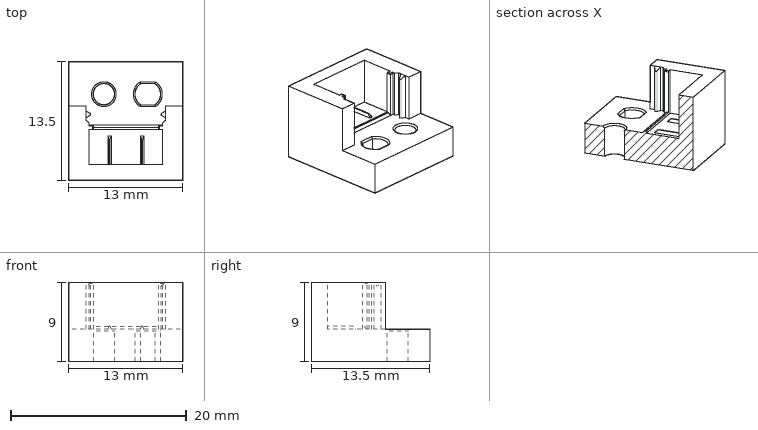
import cadquery as cq

width = 13.0
depth = 13.5
height = 9.0

shelf_height = 3.69
upper_depth = 8.44

front_wall = 1.8
pocket_half_width = 4.18
mouth_half_width = 4.52
mouth_taper_front = 6.55
mouth_taper_rear = 6.83

guide_front = 5.8
guide_rear = 6.3
guide_half_gap = 3.7
guide_chamfer = 0.11
sill_height = 0.28

bump_center_y = 7.5
bump_half_width = 0.38
bump_reach = 0.65
bump_tip_radius = 0.15
bump_top_drop = 0.54

ridge_spacing = 3.7
ridge_base = 0.39
ridge_top = 0.12
ridge_height = 0.36
ridge_rear = 5.04

hole_spacing = 5.0
hole_y = 9.8
hole_radius = 1.2
flatted_hole_radius = 1.45
hole_chamfer = 0.2
rim_margin = 0.14


def make_body():
    """Stepped block with the pocket cut down to shelf level."""
    base = cq.Workplane("XY").box(width, depth, shelf_height, centered=(True, False, False))
    wall_height = height - shelf_height
    walls = (
        cq.Workplane("XY", origin=(0, 0, shelf_height))
        .box(width, upper_depth, wall_height, centered=(True, False, False))
    )
    pocket = (
        cq.Workplane("XY", origin=(0, 0, shelf_height))
        .moveTo(-pocket_half_width, front_wall)
        .lineTo(pocket_half_width, front_wall)
        .lineTo(pocket_half_width, mouth_taper_front)
        .lineTo(mouth_half_width, mouth_taper_rear)
        .lineTo(mouth_half_width, upper_depth)
        .lineTo(-mouth_half_width, upper_depth)
        .lineTo(-mouth_half_width, mouth_taper_rear)
        .lineTo(-pocket_half_width, mouth_taper_front)
        .close()
        .extrude(wall_height)
    )
    return base.union(walls.cut(pocket))


def make_guide_rib():
    """Guide rib on the +X wall, chamfered on top along its inner and rear edges."""
    rib_width = pocket_half_width - guide_half_gap
    return (
        cq.Workplane("XY", origin=(guide_half_gap, guide_front, shelf_height))
        .box(rib_width, guide_rear - guide_front, height - shelf_height, centered=False)
        .faces(">Z")
        .edges("<X or >Y")
        .chamfer(guide_chamfer)
    )


def make_sill():
    """Low bar between the guide ribs, with a 45 degree ramp on its rear side."""
    return (
        cq.Workplane("YZ", origin=(-guide_half_gap, 0, shelf_height))
        .moveTo(guide_front, 0)
        .lineTo(guide_rear, 0)
        .lineTo(guide_rear - sill_height, sill_height)
        .lineTo(guide_front, sill_height)
        .close()
        .extrude(2 * guide_half_gap)
    )


def make_snap_bump():
    """Round-tipped vertical bump on the +X wall, its top sloping down from the wall top."""
    tip_x = mouth_half_width - bump_reach
    prism = (
        cq.Workplane("XY", origin=(0, 0, shelf_height))
        .moveTo(mouth_half_width, bump_center_y - bump_half_width)
        .lineTo(tip_x, bump_center_y)
        .lineTo(mouth_half_width, bump_center_y + bump_half_width)
        .close()
        .extrude(height - shelf_height)
        .edges("|Z and <X")
        .fillet(bump_tip_radius)
    )
    slope_cut = (
        cq.Workplane("XZ", origin=(0, bump_center_y + bump_half_width, 0))
        .moveTo(mouth_half_width, height)
        .lineTo(tip_x, height)
        .lineTo(tip_x, height - bump_top_drop)
        .close()
        .extrude(2 * bump_half_width)
    )
    return prism.cut(slope_cut)


def make_ridge(center_x):
    """Floor ridge of trapezoid section whose rear end slopes at 45 degrees."""
    ridge = (
        cq.Workplane("XZ", origin=(center_x, ridge_rear, shelf_height))
        .moveTo(-ridge_base / 2, 0)
        .lineTo(ridge_base / 2, 0)
        .lineTo(ridge_top / 2, ridge_height)
        .lineTo(-ridge_top / 2, ridge_height)
        .close()
        .extrude(ridge_rear - front_wall)
    )
    end_cut = (
        cq.Workplane("YZ", origin=(center_x - ridge_base / 2, ridge_rear, shelf_height))
        .lineTo(0, ridge_height)
        .lineTo(-ridge_height, ridge_height)
        .close()
        .extrude(ridge_base)
    )
    return ridge.cut(end_cut)


def cut_hole(body, center_x, radius):
    """Cut a through hole, trimmed to flats at hole_radius front and rear, and chamfer its rim."""
    cutter = cq.Workplane("XY").circle(radius).extrude(shelf_height)
    if radius > hole_radius:
        trim = cq.Workplane("XY").box(2 * radius, 2 * hole_radius, 2 * shelf_height)
        cutter = cutter.intersect(trim)
    body = body.cut(cutter.translate((center_x, hole_y, 0)))
    reach = radius + rim_margin
    rim = cq.selectors.BoxSelector(
        (center_x - reach, hole_y - reach, shelf_height - rim_margin),
        (center_x + reach, hole_y + reach, shelf_height + rim_margin),
    )
    return body.edges(rim).chamfer(hole_chamfer)


result = make_body()
for side_feature in (make_guide_rib(), make_snap_bump()):
    result = result.union(side_feature).union(side_feature.mirror("YZ"))
result = result.union(make_sill())
for ridge_x in (-ridge_spacing / 2, ridge_spacing / 2):
    result = result.union(make_ridge(ridge_x))
result = cut_hole(result, -hole_spacing / 2, hole_radius)
result = cut_hole(result, hole_spacing / 2, flatted_hole_radius)